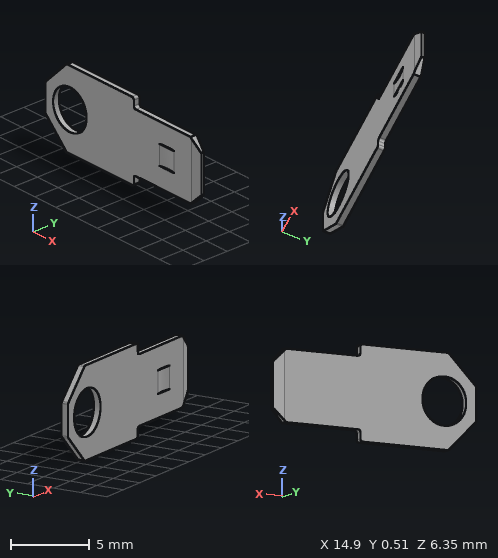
import cadquery as cq

LENGTH = 14.86
THICKNESS = 0.51
BODY_HEIGHT = 6.35
TAB_HEIGHT = 4.8
SHOULDER_FROM_LEFT = 8.515
CORNER_RADIUS = 0.178

BODY_CORNER_CUT = 2.03
TAB_CORNER_CUT = 0.89

HOLE_DIAMETER = 3.2
HOLE_FROM_LEFT = 2.35

TIP_LENGTH = 0.79
TIP_THICKNESS = 0.24

DETENT_FROM_LEFT = 11.68
DETENT_WIDTH = 1.38
DETENT_HEIGHT = 1.57
DETENT_DEPTH = 0.075

LEFT = -LENGTH / 2
RIGHT = LENGTH / 2
FRONT = -THICKNESS / 2
SHOULDER_X = LEFT + SHOULDER_FROM_LEFT


def make_plate():
    """Stepped outline with cut corners, then rounded from the body to the shoulder root."""
    body_top = BODY_HEIGHT / 2
    tab_top = TAB_HEIGHT / 2
    rounded_corners = [
        (LEFT, body_top - BODY_CORNER_CUT),
        (LEFT + BODY_CORNER_CUT, body_top),
        (SHOULDER_X, body_top),
        (SHOULDER_X, tab_top),
    ]
    upper_outline = rounded_corners + [
        (RIGHT - TAB_CORNER_CUT, tab_top),
        (RIGHT, tab_top - TAB_CORNER_CUT),
    ]
    lower_outline = [(x, -z) for x, z in reversed(upper_outline)]
    plate = (
        cq.Workplane("XZ")
        .polyline(upper_outline + lower_outline)
        .close()
        .extrude(THICKNESS / 2, both=True)
    )
    for x, z in rounded_corners:
        for corner_z in (z, -z):
            edge = cq.selectors.NearestToPointSelector((x, 0, corner_z))
            plate = plate.edges("|Y").edges(edge).fillet(CORNER_RADIUS)
    return plate


def make_hole():
    """Pin for the mounting hole, running along Y from the front face to the back."""
    return (
        cq.Workplane("XZ", origin=(LEFT + HOLE_FROM_LEFT, -FRONT, 0))
        .circle(HOLE_DIAMETER / 2)
        .extrude(THICKNESS)
    )


def make_tip_bevel(side):
    """Wedge removed from the front (side = -1) or back (side = 1) of the tip."""
    return (
        cq.Workplane("XY")
        .polyline([
            (RIGHT - TIP_LENGTH, side * THICKNESS / 2),
            (RIGHT, side * THICKNESS / 2),
            (RIGHT, side * TIP_THICKNESS / 2),
        ])
        .close()
        .extrude(TAB_HEIGHT, both=True)
    )


def make_detent():
    """Circular segment removed from the front face."""
    detent_x = LEFT + DETENT_FROM_LEFT
    return (
        cq.Workplane("XY")
        .moveTo(detent_x - DETENT_WIDTH / 2, FRONT)
        .threePointArc(
            (detent_x, FRONT + DETENT_DEPTH),
            (detent_x + DETENT_WIDTH / 2, FRONT),
        )
        .close()
        .extrude(DETENT_HEIGHT / 2, both=True)
    )


result = make_plate()
for side in (-1, 1):
    result = result.cut(make_tip_bevel(side))
result = result.cut(make_hole()).cut(make_detent())